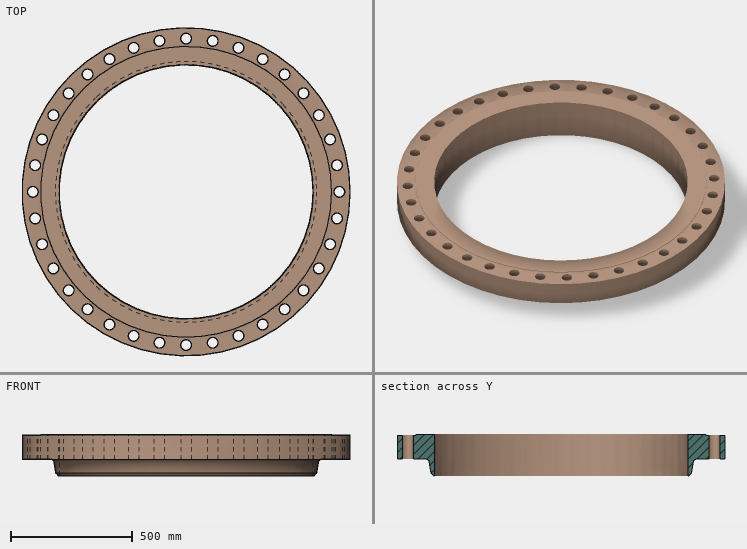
import cadquery as cq

flange_diameter = 1346.0
total_height = 171.0
bore_diameter = 1040.0

face_diameter = 1193.0
face_height = 3.0

plate_thickness = 100.0
plate_top = total_height - face_height
plate_bottom = plate_top - plate_thickness

hub_root_diameter = 1090.0
hub_end_diameter = 1072.0
root_fillet_radius = 12.0
bevel_height = 13.0
weld_tip_diameter = 1046.0

bolt_count = 36
bolt_circle_diameter = 1257.0
bolt_hole_diameter = 43.0


def make_body():
    """Revolve the radial section (radius, height) about the Z axis."""
    bore_radius = bore_diameter / 2
    section = (
        cq.Workplane("XZ")
        .moveTo(bore_radius, 0)
        .lineTo(weld_tip_diameter / 2, 0)
        .lineTo(hub_end_diameter / 2, bevel_height)
        .lineTo(hub_root_diameter / 2, plate_bottom)
        .lineTo(flange_diameter / 2, plate_bottom)
        .lineTo(flange_diameter / 2, plate_top)
        .lineTo(face_diameter / 2, plate_top)
        .lineTo(face_diameter / 2, total_height)
        .lineTo(bore_radius, total_height)
        .close()
    )
    body = section.revolve(360, (0, 0, 0), (0, 1, 0))
    root_reach = hub_root_diameter / 2 + root_fillet_radius
    root_edge = cq.selectors.BoxSelector(
        (-root_reach, -root_reach, plate_bottom - root_fillet_radius / 2),
        (root_reach, root_reach, plate_bottom + root_fillet_radius / 2),
        boundingbox=True,
    )
    return body.edges(root_edge).fillet(root_fillet_radius)


def make_bolt_holes():
    """Cylinders through the full height, on the bolt circle."""
    return (
        cq.Workplane("XY")
        .polarArray(bolt_circle_diameter / 2, 0, 360, bolt_count)
        .circle(bolt_hole_diameter / 2)
        .extrude(total_height)
    )


result = make_body().cut(make_bolt_holes())